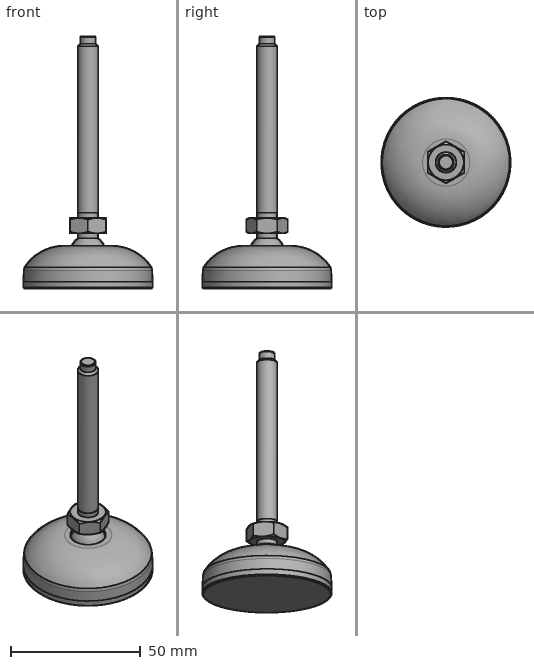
import cadquery as cq
import math

TOTAL_HEIGHT = 97.2

FOOT_DIAMETER = 50.0
PAD_HEIGHT = 2.6
PAD_EDGE_CHAMFER = 0.5

SHOULDER_DIAMETER = 49.6
SHOULDER_Z = 7.0
DOME_EDGE_DIAMETER = 49.0
DOME_EDGE_Z = 8.2
DOME_FLAT_DIAMETER = 18.2
DOME_TOP_Z = 16.5

BALL_DIAMETER = 13.7
BALL_CENTRE_Z = 13.7

NECK_DIAMETER = 7.9
SHAFT_DIAMETER = 8.0
SHAFT_START_Z = 29.3
HEX_ACROSS_FLATS = 14.0
HEX_FACE_DIAMETER = 13.7
HEX_CHAMFER_ANGLE = 30.0
HEX_BOTTOM_Z = 21.2
HEX_HEIGHT = 6.0
TIP_DIAMETER = 6.0
TIP_LENGTH = 3.0
TIP_CHAMFER = 0.4
TIP_SHOULDER_HEIGHT = (SHAFT_DIAMETER - TIP_DIAMETER) / 2


def make_pad():
    """Flat disc with a chamfered bottom edge."""
    disc = cq.Workplane("XY").circle(FOOT_DIAMETER / 2).extrude(PAD_HEIGHT)
    return disc.faces("<Z").edges().chamfer(PAD_EDGE_CHAMFER)


def make_base():
    """Domed base whose profile arc leaves the flat top ring horizontally."""
    ball_radius = BALL_DIAMETER / 2
    flat_radius = DOME_FLAT_DIAMETER / 2
    edge_radius = DOME_EDGE_DIAMETER / 2
    dome_run = edge_radius - flat_radius
    dome_drop = DOME_TOP_Z - DOME_EDGE_Z
    dome_radius = (dome_run**2 + dome_drop**2) / (2 * dome_drop)
    half_sweep = math.asin(dome_run / dome_radius) / 2
    dome_middle = (
        flat_radius + dome_radius * math.sin(half_sweep),
        DOME_TOP_Z - dome_radius * (1 - math.cos(half_sweep)),
    )
    dome = (
        cq.Workplane("XZ")
        .moveTo(0, PAD_HEIGHT)
        .lineTo(FOOT_DIAMETER / 2, PAD_HEIGHT)
        .lineTo(SHOULDER_DIAMETER / 2, SHOULDER_Z)
        .lineTo(edge_radius, DOME_EDGE_Z)
        .threePointArc(dome_middle, (flat_radius, DOME_TOP_Z))
        .lineTo(0, DOME_TOP_Z)
        .close()
        .revolve(360, (0, 0, 0), (0, 1, 0))
    )
    diagonal = ball_radius * math.sqrt(0.5)
    socket = (
        cq.Workplane("XZ")
        .moveTo(0, BALL_CENTRE_Z - ball_radius)
        .threePointArc((diagonal, BALL_CENTRE_Z - diagonal), (ball_radius, BALL_CENTRE_Z))
        .lineTo(ball_radius, DOME_TOP_Z)
        .lineTo(0, DOME_TOP_Z)
        .close()
        .revolve(360, (0, 0, 0), (0, 1, 0))
    )
    return dome.cut(socket)


def make_hexagon():
    """Spanner hexagon with corners on the Y axis, chamfered at both ends."""
    corner_diameter = HEX_ACROSS_FLATS / math.cos(math.pi / 6)
    corner_radius = corner_diameter / 2
    face_radius = HEX_FACE_DIAMETER / 2
    chamfer_height = (corner_radius - face_radius) * math.tan(math.radians(HEX_CHAMFER_ANGLE))
    top_z = HEX_BOTTOM_Z + HEX_HEIGHT
    prism = (
        cq.Workplane("XY", origin=(0, 0, HEX_BOTTOM_Z))
        .transformed(rotate=(0, 0, 90))
        .polygon(6, corner_diameter)
        .extrude(HEX_HEIGHT)
    )
    chamfer_envelope = (
        cq.Workplane("XZ")
        .polyline([
            (0, HEX_BOTTOM_Z),
            (face_radius, HEX_BOTTOM_Z),
            (corner_radius, HEX_BOTTOM_Z + chamfer_height),
            (corner_radius, top_z - chamfer_height),
            (face_radius, top_z),
            (0, top_z),
        ])
        .close()
        .revolve(360, (0, 0, 0), (0, 1, 0))
    )
    return prism.intersect(chamfer_envelope)


def make_stud():
    """Ball-ended stud: ball, neck, hexagon, shaft and reduced tip in one solid."""
    shaft_end_z = TOTAL_HEIGHT - TIP_LENGTH - TIP_SHOULDER_HEIGHT
    neck_radius = NECK_DIAMETER / 2
    shaft_radius = SHAFT_DIAMETER / 2
    tip_radius = TIP_DIAMETER / 2
    rod = (
        cq.Workplane("XZ")
        .polyline([
            (0, BALL_CENTRE_Z),
            (neck_radius, BALL_CENTRE_Z),
            (neck_radius, SHAFT_START_Z),
            (shaft_radius, SHAFT_START_Z),
            (shaft_radius, shaft_end_z),
            (tip_radius, shaft_end_z + TIP_SHOULDER_HEIGHT),
            (tip_radius, TOTAL_HEIGHT - TIP_CHAMFER),
            (tip_radius - TIP_CHAMFER, TOTAL_HEIGHT),
            (0, TOTAL_HEIGHT),
        ])
        .close()
        .revolve(360, (0, 0, 0), (0, 1, 0))
    )
    ball = cq.Workplane("XY", origin=(0, 0, BALL_CENTRE_Z)).sphere(BALL_DIAMETER / 2)
    return rod.union(ball).union(make_hexagon())


pad = make_pad()
base = make_base()
stud = make_stud()

result = cq.Compound.makeCompound([body.solids().val() for body in (pad, base, stud)])